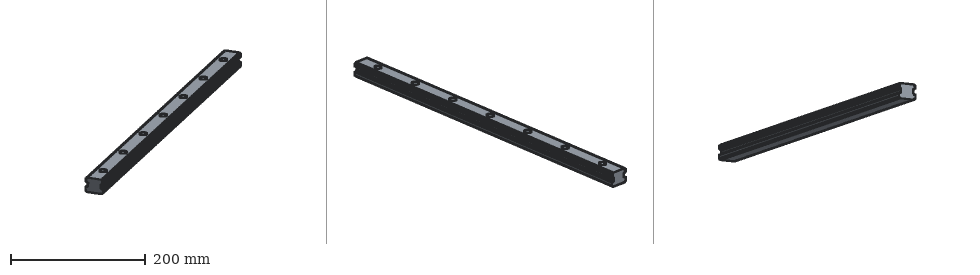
import cadquery as cq

rail_length = 550.0
rail_width = 28.0
rail_height = 23.0

top_flat_width = 23.0
upper_bevel_width = 24.0
upper_bevel_bottom = 22.0
head_side_top = 21.0
groove_top = 20.5
groove_bottom = 17.5
groove_depth = 1.5
head_side_bottom = 17.0

underside_width = 25.5
underside_break = 16.5
waist_width = 20.5
waist_top = 14.5
waist_bottom = 10.0

shoulder_width = 25.0
foot_side_top = 7.5
foot_chamfer = 2.0

recess_count = 7
recess_end_distance = 35.0
recess_pitch = (rail_length - 2 * recess_end_distance) / (recess_count - 1)
recess_diameter = 11.0
recess_depth = 0.5


def make_rail():
    """Extrude the right half of the section along Y and mirror it about the YZ plane."""
    half_width = rail_width / 2
    half_waist = waist_width / 2
    groove_middle = (groove_top + groove_bottom) / 2
    half_section = (
        cq.Workplane("XZ", origin=(0, rail_length / 2, 0))
        .moveTo(0, rail_height)
        .lineTo(top_flat_width / 2, rail_height)
        .lineTo(upper_bevel_width / 2, upper_bevel_bottom)
        .lineTo(half_width, head_side_top)
        .lineTo(half_width, groove_top)
        .threePointArc((half_width - groove_depth, groove_middle), (half_width, groove_bottom))
        .lineTo(half_width, head_side_bottom)
        .lineTo(underside_width / 2, underside_break)
        .lineTo(half_waist, waist_top)
        .lineTo(half_waist, waist_bottom)
        .lineTo(shoulder_width / 2, foot_side_top)
        .lineTo(half_width, foot_side_top)
        .lineTo(half_width, foot_chamfer)
        .lineTo(half_width - foot_chamfer, 0)
        .lineTo(0, 0)
        .close()
    )
    right_half = half_section.extrude(rail_length)
    return right_half.union(right_half.mirror("YZ")).clean()


def make_recesses():
    """Evenly spaced round cutters that sink into the top face."""
    return (
        cq.Workplane("XY", origin=(0, 0, rail_height - recess_depth))
        .rarray(5.5, recess_pitch, 1, recess_count)
        .circle(recess_diameter / 2)
        .extrude(recess_depth)
    )


result = make_rail().cut(make_recesses())